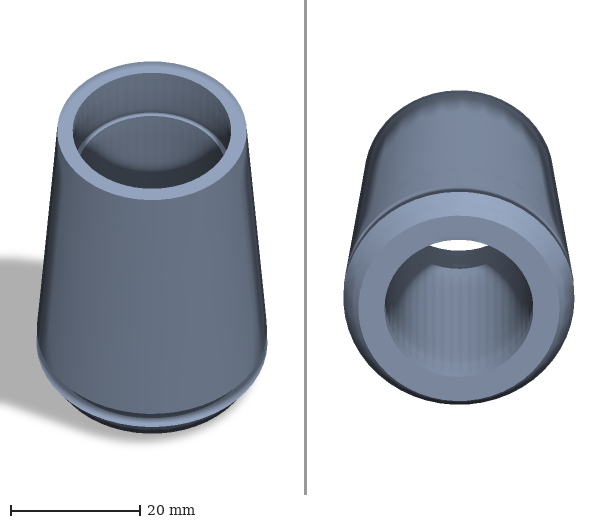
import cadquery as cq
import math

total_height = 52.0
flange_height = 4.0
groove_width = 2.9

flange_diameter = 35.72
flange_bevel_angle = 30.0
groove_diameter = 32.0
taper_top_diameter = 29.3
taper_half_angle = 4.0

bore_diameter = 23.0
counterbore_diameter = 24.5
counterbore_depth = 9.0


def make_body():
    """Revolve the outline: bevelled flange, groove and tapered shank."""
    taper_bottom_z = flange_height + groove_width
    taper_height = total_height - taper_bottom_z
    taper_top_radius = taper_top_diameter / 2
    taper_bottom_radius = taper_top_radius + taper_height * math.tan(math.radians(taper_half_angle))
    flange_radius = flange_diameter / 2
    flange_bottom_radius = flange_radius - flange_height * math.tan(math.radians(flange_bevel_angle))
    groove_radius = groove_diameter / 2

    half_profile = (
        cq.Workplane("XZ")
        .moveTo(0, 0)
        .lineTo(flange_bottom_radius, 0)
        .lineTo(flange_radius, flange_height)
        .lineTo(groove_radius, flange_height)
        .lineTo(groove_radius, taper_bottom_z)
        .lineTo(taper_bottom_radius, taper_bottom_z)
        .lineTo(taper_top_radius, total_height)
        .lineTo(0, total_height)
        .close()
    )
    return half_profile.revolve(axisStart=(0, 0, 0), axisEnd=(0, 1, 0))


def cut_stepped_bore(body):
    """Cut the through bore and the counterbore from the top face."""
    return body.faces(">Z").workplane().cboreHole(bore_diameter, counterbore_diameter, counterbore_depth)


result = cut_stepped_bore(make_body())